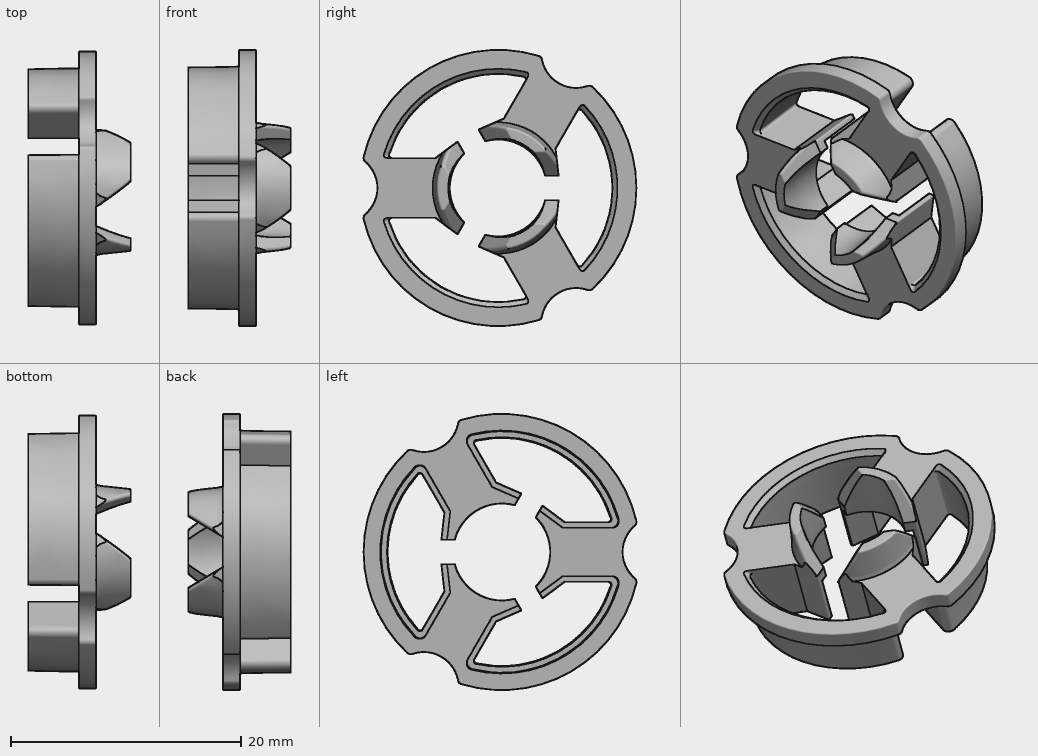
import cadquery as cq
import math

selection_tolerance = 0.01

plate_thickness = 1.5
wall_length = 4.4
stud_height = 3.0
stud_tip_x = plate_thickness + stud_height
taper_start_x = 1.05

plate_radius = 12.0
plate_front_fillet = 0.12
plate_back_fillet = 0.08
bore_radius = 4.2
bore_tip_radius = 4.35
sector_count = 3
sector_angle = 360 / sector_count

notch_radius = 3.0
notch_centre_radius = 13.5
notch_corner_fillet = 0.45

wall_thickness = 0.5
wall_end_radius = 10.48
wall_root_radius = 10.55
opening_end_radius = 9.97
opening_root_radius = 9.9
opening_chamfer = plate_thickness - taper_start_x
opening_corner_fillet = 0.25
wall_corner_fillet = 0.6
past_rim_distance = 2 * plate_radius
spoke_half_width = 2.6
lip_bend_distance = 5.46
lip_end_radius = 5.25
lip_end_fillet = 0.15

slot_half_width = 1.05
slot_length = lip_end_radius + wall_thickness
slot_tip_half_width = 3.1

stud_base_radius = 5.7
stud_neck_radius = 5.6
stud_tip_radius = 5.32
stud_foot_height = 0.4
stud_foot_top_x = plate_thickness + stud_foot_height
stud_end_fillet = 0.25
stud_tip_fillet = 0.18


def each_sector(solid):
    """Copies of a solid repeated around the X axis."""
    copies = cq.Workplane("YZ")
    for index in range(sector_count):
        copies = copies.add(solid.rotate((0, 0, 0), (1, 0, 0), index * sector_angle))
    return copies.combine()


def turned(profile):
    """Solid of revolution about X from (x, radius) points, closed down to the axis."""
    first_x = profile[0][0]
    last_x = profile[-1][0]
    outline = [(first_x, 0), *profile, (last_x, 0)]
    return cq.Workplane("XY").polyline(outline).close().revolve(360, (0, 0, 0), (1, 0, 0))


def beside_spoke(distance):
    """(Y, Z) of a point on the opening's upper straight edge, by distance along the spoke."""
    half_sector = math.radians(sector_angle / 2)
    across = distance * math.cos(half_sector) + spoke_half_width * math.sin(half_sector)
    up = distance * math.sin(half_sector) - spoke_half_width * math.cos(half_sector)
    return across, up


def sector_prism(margin, end_x):
    """Prism centred on +Y between two spokes and two lips, grown by a margin, reaching past the rim."""
    bend_y, bend_z = beside_spoke(lip_bend_distance)
    outer_y, outer_z = beside_spoke(past_rim_distance)
    outline = cq.Workplane("YZ", origin=(-wall_length, 0, 0)).polyline([
        (lip_end_radius, -slot_half_width),
        (bend_y, -bend_z),
        (outer_y, -outer_z),
        (outer_y, outer_z),
        (bend_y, bend_z),
        (lip_end_radius, slot_half_width),
    ]).close()
    if margin:
        outline = outline.offset2D(margin, "intersection")
    return outline.extrude(wall_length + end_x)


def is_rim_corner(edge):
    """Long corners where the straight sides meet the rim arc."""
    centre = edge.Center()
    runs_lengthwise = abs(edge.startPoint().x - edge.endPoint().x) > selection_tolerance
    midway_to_rim = (lip_bend_distance + opening_root_radius) / 2
    return runs_lengthwise and math.hypot(centre.y, centre.z) > midway_to_rim


def opening_prism():
    """Opening from the wall's free end to the stud tips, with drafted and chamfered rim."""
    rim = turned([
        (-wall_length, opening_end_radius),
        (0, opening_root_radius),
        (taper_start_x, opening_root_radius),
        (plate_thickness, opening_root_radius + opening_chamfer),
        (stud_tip_x, opening_root_radius + opening_chamfer),
    ])
    prism = sector_prism(0, stud_tip_x).intersect(rim)
    return prism.edges().filter(is_rim_corner).fillet(opening_corner_fillet)


def wall_prism():
    """Filled wall outline, running from the wall's free end to the plate."""
    rim = turned([(-wall_length, wall_end_radius), (0, wall_root_radius)])
    prism = sector_prism(wall_thickness, 0).intersect(rim)
    return prism.edges().filter(is_rim_corner).fillet(wall_corner_fillet)


def plate():
    """Notched disc with rounded edges."""
    disc = cq.Workplane("YZ").circle(plate_radius).extrude(plate_thickness)
    notch = cq.Workplane("YZ").center(-notch_centre_radius, 0).circle(notch_radius).extrude(plate_thickness)
    disc = disc.cut(each_sector(notch))
    disc = disc.edges("|X").fillet(notch_corner_fillet)
    disc = disc.faces(">X").edges().fillet(plate_front_fillet)
    return disc.faces("<X").edges().fillet(plate_back_fillet)


def bore():
    """Central bore, flaring slightly toward the stud tips."""
    return turned([
        (0, bore_radius),
        (taper_start_x, bore_radius),
        (stud_tip_x, bore_tip_radius),
    ])


def slot():
    """Straight slot along +Y through the walls and the plate."""
    depth = wall_length + plate_thickness
    return cq.Workplane("XY", origin=(-wall_length, 0, 0)).box(
        depth, slot_length, 2 * slot_half_width, centered=(False, False, True)
    )


def slot_taper():
    """Wedge along +Y that widens the slot toward the stud tips."""
    return (
        cq.Workplane("XZ")
        .polyline([
            (taper_start_x, -slot_half_width),
            (stud_tip_x, -slot_tip_half_width),
            (stud_tip_x, slot_tip_half_width),
            (taper_start_x, slot_half_width),
        ])
        .close()
        .extrude(-slot_length)
    )


def is_stud_end_edge(edge):
    """Outer edges where a stud's slanted ends meet its curved outside."""
    start = edge.startPoint()
    end = edge.endPoint()
    inner_end = min(math.hypot(start.y, start.z), math.hypot(end.y, end.z))
    on_outside = inner_end > stud_tip_radius - selection_tolerance
    return on_outside and abs(start.x - end.x) > selection_tolerance


def studs(openings, slot_tapers):
    """Tapered ring, rooted inside the plate and divided into one stud per spoke."""
    ring = turned([
        (taper_start_x, stud_base_radius),
        (plate_thickness, stud_base_radius),
        (stud_foot_top_x, stud_neck_radius),
        (stud_tip_x, stud_tip_radius),
    ])
    ring = ring.cut(bore()).cut(slot_tapers)
    ring = ring.edges().filter(is_stud_end_edge).fillet(stud_end_fillet)
    tip_arcs = ring.faces(">X").edges("%CIRCLE")
    ring = tip_arcs.edges(cq.selectors.RadiusNthSelector(-1)).fillet(stud_tip_fillet)
    return ring.cut(openings)


def is_lip_end(edge):
    """Long edges where an opening meets its slot."""
    centre = edge.Center()
    distance = math.hypot(centre.y, centre.z)
    return abs(distance - math.hypot(lip_end_radius, slot_half_width)) < selection_tolerance


openings = each_sector(opening_prism())
slot_tapers = each_sector(slot_taper())

body = plate().union(each_sector(wall_prism()))
body = body.cut(bore()).cut(openings).cut(each_sector(slot()))
body = body.edges("|X").filter(is_lip_end).fillet(lip_end_fillet)
result = body.cut(slot_tapers).union(studs(openings, slot_tapers))